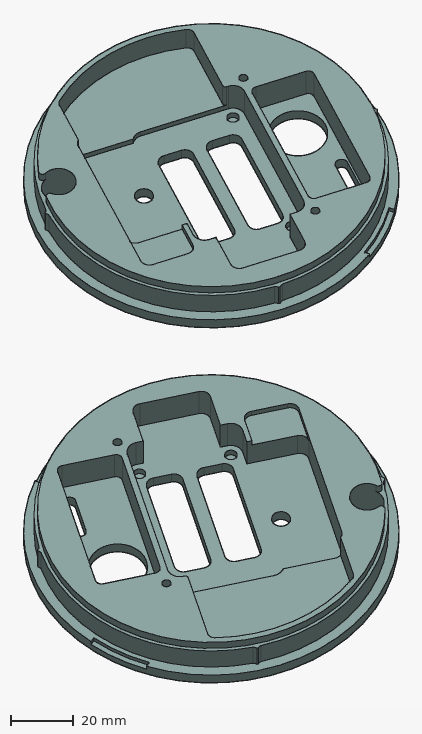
import cadquery as cq
import math

FLANGE_R = 60.0
BAND_R = 56.6
RIM_R = 55.5
FLANGE_TOP = 4.0
BAND_TOP = 12.0
TOP = 15.0

OVERLAP = 1.2

RIDGE_COUNT = 4
RIDGE_TIP_R = 57.4
RIDGE_HALF_WIDTH = 1.3
RIDGE_TIP_HALF_WIDTH = 0.2
RIDGE_SAG = 0.1

NOTCH_ANGLES = (45, 135)
NOTCH_LENGTH = 20.4
NOTCH_INNER_R = 58.2
NOTCH_DEPTH = 1.5

FLOOR = 4.0
SIDE_FLOOR = 6.0
SHELF_FLOOR = 13.0

UPPER_LEFT, UPPER_RIGHT = -21.2, 29.5
UPPER_BOTTOM, UPPER_TOP = 22.1, 43.5
UPPER_CORNER_R = 2.0
WINDOW_CENTER = (-6.8, 32.8)
WINDOW_D = 19.0
SLOT_CENTER = (16.8, 40.7)
SLOT_LENGTH = 16.7
SLOT_WIDTH = 4.1

SCREW_LEFT, SCREW_RIGHT = -20.9, 28.7
SCREW_BOTTOM, SCREW_TOP = -14.2, 16.1
SCREW_D = 4.0
SCREW_DEPTH = 2.3
BOARD_MARGIN = 4.0
POCKET_CORNER_R = 3.0

BOARD_LEFT = SCREW_LEFT - BOARD_MARGIN
BOARD_RIGHT = SCREW_RIGHT + BOARD_MARGIN
BOARD_BOTTOM = SCREW_BOTTOM - BOARD_MARGIN
BOARD_TOP = SCREW_TOP + BOARD_MARGIN

LOWER_LEFT, LOWER_RIGHT = -22.9, 23.8
LOWER_BOTTOM = -37.8
RIGHT_BAY_LEFT, RIGHT_BAY_RIGHT = 30.2, 47.9
RIGHT_BAY_BOTTOM, RIGHT_BAY_TOP = -11.8, 13.8
SHELF_RIGHT = 35.6
SHELF_TOP = -19.8
SIDE_WALL_R = 53.6
SIDE_BOTTOM, SIDE_TOP = -36.8, 14.5
SIDE_CORNER_R = 2.4
JUNCTION_R = 1.0

OPENING_LENGTH, OPENING_WIDTH = 40.2, 12.0
OPENING_X = 5.8
OPENING_YS = (9.2, -7.5)
OPENING_CORNER_R = 3.0
CENTER_HOLE = (-1.1, -22.8)
CENTER_HOLE_D = 6.0

PIN_XS = (-26.3, 34.3)
PIN_Y = 21.8
PIN_D = 2.9
PIN_DEPTH = 6.0

CABLE_HOLE = (-8.2, -49.3)
CABLE_HOLE_D = 11.0
CABLE_LIP_R = 1.2


def disc(radius, bottom, top):
    return cq.Workplane("XY").workplane(offset=bottom).circle(radius).extrude(top - bottom)


def block(left, right, front, back, bottom, top, corner_r=0.0):
    """Upright box given by its four sides, with optional round vertical edges."""
    box = cq.Workplane("XY").box(right - left, back - front, top - bottom, centered=False)
    box = box.translate((left, front, bottom))
    return box.edges("|Z").fillet(corner_r) if corner_r else box


def holes(points, diameter, bottom, top):
    plane = cq.Workplane("XY").workplane(offset=bottom)
    return plane.pushPoints(points).circle(diameter / 2).extrude(top - bottom)


def ridge(angle):
    """Vertical ridge whose two flanks curve inward up to a narrow flat crest."""
    mid_x = (BAND_R + RIDGE_TIP_R) / 2 - RIDGE_SAG
    mid_y = (RIDGE_HALF_WIDTH + RIDGE_TIP_HALF_WIDTH) / 2
    base_x = math.sqrt(BAND_R**2 - RIDGE_HALF_WIDTH**2)
    profile = (
        cq.Workplane("XY").workplane(offset=FLANGE_TOP)
        .moveTo(BAND_R - OVERLAP, -RIDGE_HALF_WIDTH)
        .lineTo(base_x, -RIDGE_HALF_WIDTH)
        .threePointArc((mid_x, -mid_y), (RIDGE_TIP_R, -RIDGE_TIP_HALF_WIDTH))
        .lineTo(RIDGE_TIP_R, RIDGE_TIP_HALF_WIDTH)
        .threePointArc((mid_x, mid_y), (base_x, RIDGE_HALF_WIDTH))
        .lineTo(BAND_R - OVERLAP, RIDGE_HALF_WIDTH)
        .close()
    )
    return profile.extrude(BAND_TOP - FLANGE_TOP).rotate((0, 0, 0), (0, 0, 1), angle)


def body():
    solid = disc(FLANGE_R, 0, FLANGE_TOP)
    solid = solid.union(disc(BAND_R, 0, BAND_TOP))
    solid = solid.union(disc(RIM_R, 0, TOP))
    for i in range(RIDGE_COUNT):
        solid = solid.union(ridge(i * 360 / RIDGE_COUNT))
    return solid


def flange_notch(angle):
    half = NOTCH_LENGTH / 2
    bottom = FLANGE_TOP - NOTCH_DEPTH
    notch = block(0, FLANGE_R + OVERLAP, -half, half, bottom, FLANGE_TOP)
    notch = notch.cut(disc(NOTCH_INNER_R, bottom, FLANGE_TOP))
    return notch.rotate((0, 0, 0), (0, 0, 1), angle)


def upper_pocket():
    pocket = block(UPPER_LEFT, UPPER_RIGHT, UPPER_BOTTOM, UPPER_TOP, FLOOR, TOP, UPPER_CORNER_R)
    window = holes([WINDOW_CENTER], WINDOW_D, 0, TOP)
    slot = cq.Workplane("XY").center(*SLOT_CENTER).slot2D(SLOT_LENGTH, SLOT_WIDTH).extrude(TOP)
    return pocket.union(window).union(slot)


def main_pocket():
    board = block(BOARD_LEFT, BOARD_RIGHT, BOARD_BOTTOM, BOARD_TOP, FLOOR, TOP, BOARD_MARGIN)
    lower = block(LOWER_LEFT, LOWER_RIGHT, LOWER_BOTTOM, 0, FLOOR, TOP, POCKET_CORNER_R)
    right_bay = block(
        RIGHT_BAY_LEFT, RIGHT_BAY_RIGHT, RIGHT_BAY_BOTTOM, RIGHT_BAY_TOP,
        FLOOR, TOP, POCKET_CORNER_R,
    )
    shelf = block(0, SHELF_RIGHT, LOWER_BOTTOM, SHELF_TOP, SHELF_FLOOR, TOP, POCKET_CORNER_R)
    return board.union(lower).union(right_bay).union(shelf)


def side_pocket():
    """Raised pocket whose outer wall follows the rim."""
    pocket = block(-FLANGE_R, 0, SIDE_BOTTOM, SIDE_TOP, SIDE_FLOOR, TOP)
    pocket = pocket.intersect(disc(SIDE_WALL_R, SIDE_FLOOR, TOP))
    pocket = pocket.edges("|Z and (not >X)").fillet(SIDE_CORNER_R)
    corner = block(
        BOARD_LEFT - JUNCTION_R, BOARD_LEFT, SIDE_TOP, SIDE_TOP + JUNCTION_R, SIDE_FLOOR, TOP,
    )
    round_center = (BOARD_LEFT - JUNCTION_R, SIDE_TOP + JUNCTION_R)
    corner = corner.cut(holes([round_center], 2 * JUNCTION_R, SIDE_FLOOR, TOP))
    return pocket.union(corner)


def floor_openings():
    openings = holes([CENTER_HOLE], CENTER_HOLE_D, 0, TOP)
    half_length = OPENING_LENGTH / 2
    half_width = OPENING_WIDTH / 2
    for y in OPENING_YS:
        opening = block(
            OPENING_X - half_length, OPENING_X + half_length,
            y - half_width, y + half_width, 0, TOP, OPENING_CORNER_R,
        )
        openings = openings.union(opening)
    return openings


def cable_exit():
    """Hole with a rounded mouth through the rim; the lips are tangent to the hole and the rim."""
    hole_distance = math.hypot(*CABLE_HOLE)
    hole_angle = math.atan2(CABLE_HOLE[1], CABLE_HOLE[0])
    lip_distance = RIM_R - CABLE_LIP_R
    lip_to_hole = CABLE_HOLE_D / 2 + CABLE_LIP_R
    spread = math.acos(
        (hole_distance**2 + lip_distance**2 - lip_to_hole**2) / (2 * hole_distance * lip_distance)
    )

    def polar(distance, angle):
        return (distance * math.cos(angle), distance * math.sin(angle))

    lip_angles = (hole_angle - spread, hole_angle + spread)
    lips = [polar(lip_distance, angle) for angle in lip_angles]
    outside = [polar(FLANGE_R, angle) for angle in lip_angles]
    mouth = (
        cq.Workplane("XY").workplane(offset=BAND_TOP)
        .polyline([CABLE_HOLE, lips[0], outside[0], outside[1], lips[1]]).close()
        .extrude(TOP - BAND_TOP)
    )
    mouth = mouth.cut(holes(lips, 2 * CABLE_LIP_R, BAND_TOP, TOP))
    return mouth.union(holes([CABLE_HOLE], CABLE_HOLE_D, 0, TOP))


screw_points = [(SCREW_LEFT, SCREW_TOP), (SCREW_RIGHT, SCREW_TOP), (SCREW_RIGHT, SCREW_BOTTOM)]
pin_points = [(x, PIN_Y) for x in PIN_XS]

result = body()
for notch_angle in NOTCH_ANGLES:
    result = result.cut(flange_notch(notch_angle))
result = result.cut(upper_pocket())
result = result.cut(main_pocket())
result = result.cut(side_pocket())
result = result.cut(floor_openings())
result = result.cut(holes(screw_points, SCREW_D, FLOOR - SCREW_DEPTH, FLOOR))
result = result.cut(holes(pin_points, PIN_D, TOP - PIN_DEPTH, TOP))
result = result.cut(cable_exit())